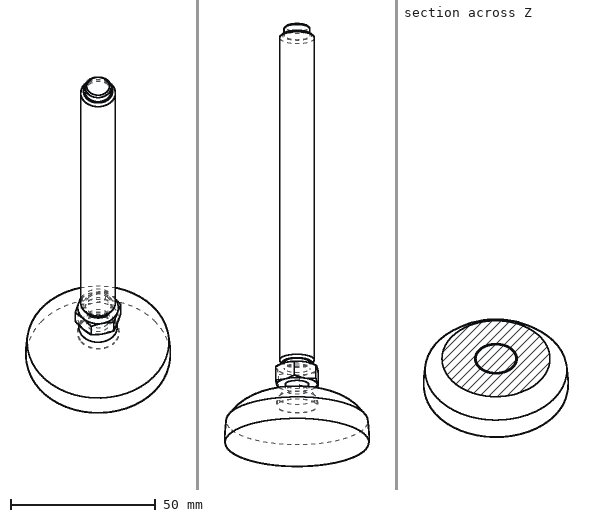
import cadquery as cq
import math

total_height = 152.2

foot_diameter = 50.0
foot_chamfer_height = 0.8
foot_chamfer_width = 0.15
pad_seam_height = 2.5
dome_rim_diameter = 49.0
band_bottom_diameter = 49.3
band_bottom_height = 7.1
dome_rim_height = 8.0
foot_height = 16.4
crown_diameter = 18.0

ball_diameter = 14.0
socket_diameter = 14.5
socket_mouth_diameter = 13.28
shank_diameter = 8.06
ball_center_height = foot_height - math.sqrt(socket_diameter**2 - socket_mouth_diameter**2) / 2
shank_bottom = ball_center_height + math.sqrt(ball_diameter**2 - shank_diameter**2) / 2

hex_sides = 6
hex_across_flats = 14.0
hex_chamfer_diameter = hex_across_flats
hex_chamfer_angle = 30.0
hex_bottom = 21.3
hex_top = 27.3

neck_diameter = 9.0
spindle_diameter = 12.0
spindle_end_diameter = 10.1
spindle_chamfer_height = 0.9
spindle_bottom = 29.3
spindle_top = 149.3
tip_diameter = 9.0
tip_chamfer = 0.6


def frustum(bottom_diameter, top_diameter, bottom, top):
    """Cone section about the Z axis."""
    profile = [
        (0, bottom),
        (bottom_diameter / 2, bottom),
        (top_diameter / 2, top),
        (0, top),
    ]
    return cq.Workplane("XZ").polyline(profile).close().revolve(360, (0, 0), (0, 1))


def cylinder(diameter, bottom, top):
    return cq.Workplane("XY").workplane(offset=bottom).circle(diameter / 2).extrude(top - bottom)


def make_foot():
    """Revolved foot whose dome is an arc tangent to the flat crown."""
    foot_radius = foot_diameter / 2
    crown_radius = crown_diameter / 2
    rim_radius = dome_rim_diameter / 2
    dome_width = rim_radius - crown_radius
    dome_drop = foot_height - dome_rim_height
    dome_radius = (dome_width**2 + dome_drop**2) / (2 * dome_drop)
    half_angle = math.asin(dome_width / dome_radius) / 2
    dome_middle = (
        crown_radius + dome_radius * math.sin(half_angle),
        foot_height - dome_radius * (1 - math.cos(half_angle)),
    )
    return (
        cq.Workplane("XZ")
        .lineTo(foot_radius - foot_chamfer_width, 0)
        .lineTo(foot_radius, foot_chamfer_height)
        .lineTo(foot_radius, pad_seam_height)
        .lineTo(band_bottom_diameter / 2, band_bottom_height)
        .lineTo(rim_radius, dome_rim_height)
        .threePointArc(dome_middle, (crown_radius, foot_height))
        .lineTo(0, foot_height)
        .close()
        .revolve(360, (0, 0), (0, 1))
    )


def make_ball():
    return cq.Workplane("XY").workplane(offset=ball_center_height).sphere(ball_diameter / 2)


def make_socket():
    """Upper half of a sphere around the ball; below its equator the ball is joined to the foot."""
    sphere = cq.Workplane("XY").workplane(offset=ball_center_height).sphere(socket_diameter / 2)
    return sphere.intersect(cylinder(socket_diameter, ball_center_height, foot_height))


def make_hexagon():
    """Hexagon with its corners turned down at both ends."""
    half_side_angle = 180 / hex_sides
    corner_diameter = hex_across_flats / math.cos(math.radians(half_side_angle))
    chamfer_width = (corner_diameter - hex_chamfer_diameter) / 2
    chamfer_height = chamfer_width * math.tan(math.radians(hex_chamfer_angle))
    lower_edge = hex_bottom + chamfer_height
    upper_edge = hex_top - chamfer_height
    prism = (
        cq.Workplane("XY")
        .workplane(offset=hex_bottom)
        .polygon(hex_sides, corner_diameter)
        .extrude(hex_top - hex_bottom)
        .rotate((0, 0, 0), (0, 0, 1), half_side_angle)
    )
    envelope = (
        frustum(hex_chamfer_diameter, corner_diameter, hex_bottom, lower_edge)
        .union(cylinder(corner_diameter, lower_edge, upper_edge))
        .union(frustum(corner_diameter, hex_chamfer_diameter, upper_edge, hex_top))
    )
    return prism.intersect(envelope)


def make_spindle():
    body_bottom = spindle_bottom + spindle_chamfer_height
    body_top = spindle_top - spindle_chamfer_height
    tip_shoulder = total_height - tip_chamfer
    return (
        cylinder(neck_diameter, hex_top, spindle_bottom)
        .union(frustum(spindle_end_diameter, spindle_diameter, spindle_bottom, body_bottom))
        .union(cylinder(spindle_diameter, body_bottom, body_top))
        .union(frustum(spindle_diameter, spindle_end_diameter, body_top, spindle_top))
        .union(cylinder(tip_diameter, spindle_top, tip_shoulder))
        .union(frustum(tip_diameter, tip_diameter - 2 * tip_chamfer, tip_shoulder, total_height))
    )


shank = cylinder(shank_diameter, shank_bottom, hex_bottom)
foot = make_foot().cut(make_socket())
result = foot.union(make_ball()).union(shank).union(make_hexagon()).union(make_spindle())